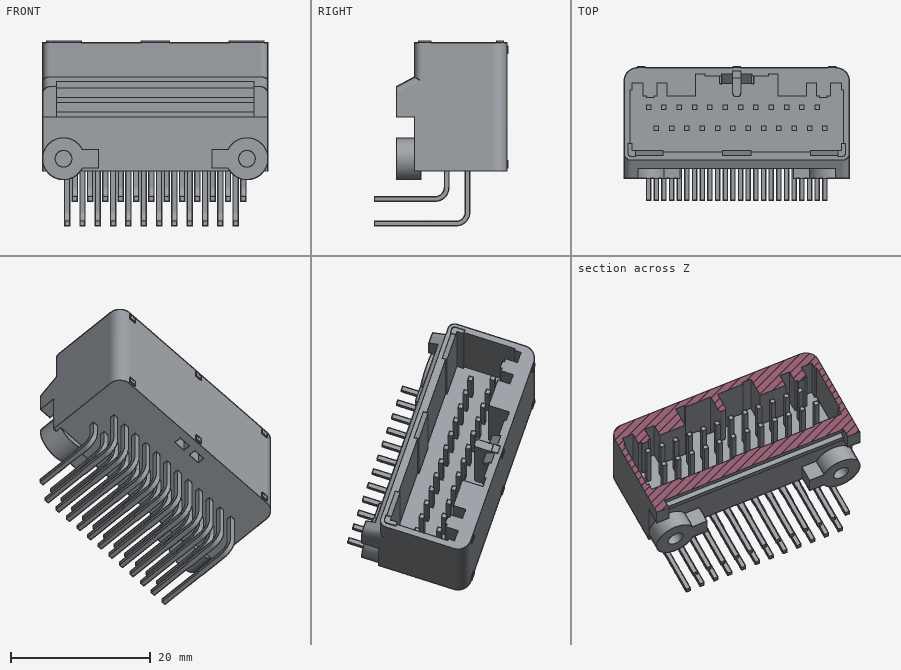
import cadquery as cq
import math


WIDTH = 32.3
HEIGHT = 18.4
DEPTH = 13.28
FLOOR = 3.0
BACK_CORNER_R = 1.95
FRONT_CORNER_R = 1.0
PAD_HEIGHT = 0.25
HALF_WIDTH = WIDTH / 2

FLANGE_REACH = 2.6
FLANGE_FRONT = -DEPTH - FLANGE_REACH
SLOPE_START = HEIGHT - 4.9
SLOPE_DROP = 1.4
FLANGE_BOTTOM = HEIGHT - 10.65
RECESS_HALF_WIDTH = 14.18
RECESS_FRONT = -DEPTH - 1.2
RIB_COUNT = 2
RIB_HEIGHT = 0.75
RIB_GAP = 1.32

SIDE_WALL_X = 15.28
SIDE_STEP_X = 15.02
SIDE_STEP_BACK_Y = -3.2
SIDE_STEP_FRONT_Y = -10.9
FRONT_WALL_Y = -12.1
FRONT_STEP_Y = -11.9
POCKET_Y = -2.2
TEETH_Y = -4.05
BUMP_REACH = 0.25
OUTER_TOOTH_X = (11.47, 13.4)
TOOTH_BUMP_X = (11.9, 12.92)
INNER_BLOCK_X = (5.95, 10.0)
BAY_Y = -0.95
BAY_STEP_X = 4.6
BAY_STEP_Y = -1.23

STRIP_OUTER_Y = -12.63
CORNER_STRIP_X = (10.6, 14.55)
MIDDLE_STRIP_HALF_WIDTH = 2.07
CORNER_PAD_X = 15.6
CORNER_PAD_Y = -12.73
CORNER_PAD_R = 0.5

KEY_WIDTH = 1.15
KEY_END_Y = -4.17
KEY_END_R = 0.52
KEY_PAD_Y = (-1.5, -0.5)
LATCH_HALF_WIDTH = 2.15
LATCH_TIP_Y = -2.3
LATCH_DROP = 1.3
LATCH_TIP_HEIGHT = 0.42
WINDOW_HALF_WIDTH = 2.42

BACK_BUMP_SIZE = 1.05
BACK_BUMP_REACH = 0.15
BACK_BUMP_INSET = 0.45
BACK_BUMP_X = 13.65

BOSS_R = 3.0
BOSS_X = HALF_WIDTH - BOSS_R
BOSS_Z = 1.78
BOSS_BACK = -12.35
BOSS_HOLE_D = 2.4
LUG_END_X = 8.15
LUG_HEIGHT = 2.62

PIN_COUNT = 24
PIN_SPACING = 1.1
PIN_SIZE = 0.65
PIN_THICKNESS = 0.68
PIN_ROOT_WIDTH = 0.78
PIN_TOP = HEIGHT - 8.0
TAIL_END_Y = -19.02
TAPER_Y = (-11.6, -12.08)
BEND_R = 2.0
LONG_DROP = 7.85
ROW_DROP_STEP = 3.52
BACK_ROW_Y = -5.65
ROW_SPACING = 3.0


def block(x_range, y_range, z_range):
    """Axis-aligned box between pairs of coordinates, given in any order."""
    (x0, x1), (y0, y1), (z0, z1) = (sorted(r) for r in (x_range, y_range, z_range))
    return cq.Workplane("XY").box(x1 - x0, y1 - y0, z1 - z0, centered=False).translate((x0, y0, z0))


def prism_x(points, x_range):
    """Extrude a (Y, Z) outline along X."""
    x0, x1 = x_range
    return cq.Workplane("YZ", origin=(x0, 0, 0)).polyline(points).close().extrude(x1 - x0)


def mirror_pair(solid):
    return solid.union(solid.mirror("YZ"))


def make_shell():
    full_x = (-HALF_WIDTH, HALF_WIDTH)
    shell = block(full_x, (-DEPTH, 0), (0, HEIGHT))
    shell = shell.edges("|Z and >Y").fillet(BACK_CORNER_R)
    shell = shell.edges("|Z and <Y").fillet(FRONT_CORNER_R)
    square_base = block(full_x, (-DEPTH, -DEPTH / 2), (0, FLANGE_BOTTOM))
    return shell.union(square_base)


def make_flange():
    overlap = 2 * FRONT_CORNER_R
    slope = SLOPE_DROP / FLANGE_REACH
    back = -DEPTH + overlap
    flange = prism_x(
        [
            (FLANGE_FRONT, FLANGE_BOTTOM),
            (FLANGE_FRONT, SLOPE_START - SLOPE_DROP),
            (back, SLOPE_START + slope * overlap),
            (back, FLANGE_BOTTOM),
        ],
        (-HALF_WIDTH, HALF_WIDTH),
    )
    middle_y = (FLANGE_FRONT + back) / 2
    middle_z = SLOPE_START - SLOPE_DROP + slope * (middle_y - FLANGE_FRONT)
    for x in (-HALF_WIDTH, HALF_WIDTH):
        slope_end = cq.selectors.NearestToPointSelector((x, middle_y, middle_z))
        flange = flange.edges(slope_end).fillet(FRONT_CORNER_R)

    recess_x = (-RECESS_HALF_WIDTH, RECESS_HALF_WIDTH)
    flange = flange.cut(block(recess_x, (FLANGE_FRONT, RECESS_FRONT), (FLANGE_BOTTOM, HEIGHT)))
    for row in range(RIB_COUNT):
        gap_bottom = FLANGE_BOTTOM + RIB_HEIGHT + row * (RIB_HEIGHT + RIB_GAP)
        gap = block(recess_x, (RECESS_FRONT, -DEPTH), (gap_bottom, gap_bottom + RIB_GAP))
        flange = flange.cut(gap)
    return flange


def make_cavity():
    tooth_in, tooth_out = OUTER_TOOTH_X
    bump_in, bump_out = TOOTH_BUMP_X
    block_in, block_out = INNER_BLOCK_X
    bump_y = TEETH_Y - BUMP_REACH
    right_half = [
        (0, BAY_STEP_Y),
        (BAY_STEP_X, BAY_STEP_Y),
        (BAY_STEP_X, BAY_Y),
        (block_in, BAY_Y),
        (block_in, TEETH_Y),
        (block_out, TEETH_Y),
        (block_out, POCKET_Y),
        (tooth_in, POCKET_Y),
        (tooth_in, TEETH_Y),
        (bump_in, TEETH_Y),
        (bump_in, bump_y),
        (bump_out, bump_y),
        (bump_out, TEETH_Y),
        (tooth_out, TEETH_Y),
        (tooth_out, POCKET_Y),
        (SIDE_STEP_X, POCKET_Y),
        (SIDE_STEP_X, SIDE_STEP_BACK_Y),
        (SIDE_WALL_X, SIDE_STEP_BACK_Y),
        (SIDE_WALL_X, SIDE_STEP_FRONT_Y),
        (SIDE_STEP_X, SIDE_STEP_FRONT_Y),
        (SIDE_STEP_X, FRONT_STEP_Y),
        (CORNER_STRIP_X[0], FRONT_STEP_Y),
        (CORNER_STRIP_X[0], FRONT_WALL_Y),
        (MIDDLE_STRIP_HALF_WIDTH, FRONT_WALL_Y),
        (MIDDLE_STRIP_HALF_WIDTH, FRONT_STEP_Y),
        (0, FRONT_STEP_Y),
    ]
    half = cq.Workplane("XY", origin=(0, 0, FLOOR)).polyline(right_half).close().extrude(HEIGHT - FLOOR)
    return mirror_pair(half)


def make_rim_pads():
    def sloped_strip(x_range):
        """Wedge rising from the rim toward the cavity."""
        outline = [
            (STRIP_OUTER_Y, HEIGHT),
            (FRONT_STEP_Y, HEIGHT),
            (FRONT_STEP_Y, HEIGHT + PAD_HEIGHT),
        ]
        return prism_x(outline, x_range)

    pad_z = (HEIGHT, HEIGHT + PAD_HEIGHT)
    inner_x = CORNER_STRIP_X[1]
    corner = block((inner_x, CORNER_PAD_X), (CORNER_PAD_Y, SIDE_STEP_FRONT_Y), pad_z)
    corner = corner.edges("|Z and >X and <Y").fillet(CORNER_PAD_R)
    corner = corner.cut(block((inner_x, SIDE_STEP_X), (FRONT_STEP_Y, SIDE_STEP_FRONT_Y), pad_z))
    pads = mirror_pair(corner.union(sloped_strip(CORNER_STRIP_X)))
    return pads.union(sloped_strip((-MIDDLE_STRIP_HALF_WIDTH, MIDDLE_STRIP_HALF_WIDTH)))


def make_key():
    key_x = (-KEY_WIDTH / 2, KEY_WIDTH / 2)
    key = block(key_x, (KEY_END_Y, BAY_Y), (0, HEIGHT))
    key = key.edges("|Z and <Y").fillet(KEY_END_R)
    return key.union(block(key_x, KEY_PAD_Y, (HEIGHT, HEIGHT + PAD_HEIGHT)))


def make_latch():
    tip_top = HEIGHT - LATCH_DROP
    tip_bottom = tip_top - LATCH_TIP_HEIGHT
    return prism_x(
        [(BAY_Y, HEIGHT), (LATCH_TIP_Y, tip_top), (LATCH_TIP_Y, tip_bottom), (BAY_Y, tip_bottom)],
        (-LATCH_HALF_WIDTH, LATCH_HALF_WIDTH),
    )


def make_latch_chamfer():
    """Wall material above the latch slope."""
    return prism_x(
        [(BAY_Y, HEIGHT), (LATCH_TIP_Y, HEIGHT), (LATCH_TIP_Y, HEIGHT - LATCH_DROP)],
        (-LATCH_HALF_WIDTH, LATCH_HALF_WIDTH),
    )


def make_back_bumps():
    half = BACK_BUMP_SIZE / 2
    low_z = BACK_BUMP_INSET + half
    bumps = cq.Workplane("XY")
    for x in (-BACK_BUMP_X, 0, BACK_BUMP_X):
        for z in (low_z, HEIGHT - low_z):
            bump = block((x - half, x + half), (-BACK_BUMP_REACH, BACK_BUMP_REACH), (z - half, z + half))
            bumps = bumps.union(bump)
    return bumps


def make_bosses():
    def cylinder(radius, back_y):
        plane = cq.Workplane("XZ", origin=(BOSS_X, back_y, BOSS_Z))
        return plane.circle(radius).extrude(back_y - FLANGE_FRONT)

    boss = cylinder(BOSS_R, BOSS_BACK)
    lug_z = (BOSS_Z - LUG_HEIGHT / 2, BOSS_Z + LUG_HEIGHT / 2)
    boss = boss.union(block((LUG_END_X, BOSS_X), (FLANGE_FRONT, BOSS_BACK), lug_z))
    hole = cylinder(BOSS_HOLE_D / 2, -DEPTH)
    return mirror_pair(boss), mirror_pair(hole)


def make_pin(row_y, drop):
    """One pin at X = 0: blade in the cavity, bent root and narrower tail."""
    half = PIN_THICKNESS / 2
    inner_r = BEND_R - PIN_THICKNESS
    back, front = row_y + half, row_y - half
    under, over = -drop, PIN_THICKNESS - drop
    diagonal = math.sqrt(0.5)
    centre_y, centre_z = back - BEND_R, BEND_R - drop
    root = (
        cq.Workplane("YZ", origin=(-PIN_ROOT_WIDTH / 2, 0, 0))
        .moveTo(back, FLOOR / 2)
        .lineTo(back, centre_z)
        .threePointArc((centre_y + BEND_R * diagonal, centre_z - BEND_R * diagonal), (centre_y, under))
        .lineTo(TAPER_Y[0], under)
        .lineTo(TAPER_Y[0], over)
        .lineTo(centre_y, over)
        .threePointArc((centre_y + inner_r * diagonal, centre_z - inner_r * diagonal), (front, centre_z))
        .lineTo(front, FLOOR / 2)
        .close()
        .extrude(PIN_ROOT_WIDTH)
    )
    root_half, tail_half = PIN_ROOT_WIDTH / 2, PIN_SIZE / 2
    tail = (
        cq.Workplane("XY", origin=(0, 0, under))
        .polyline(
            [
                (-root_half, TAPER_Y[0]),
                (-tail_half, TAPER_Y[1]),
                (-tail_half, TAIL_END_Y),
                (tail_half, TAIL_END_Y),
                (tail_half, TAPER_Y[1]),
                (root_half, TAPER_Y[0]),
            ]
        )
        .close()
        .extrude(PIN_THICKNESS)
    )
    blade = block((-tail_half, tail_half), (row_y - tail_half, row_y + tail_half), (FLOOR / 2, PIN_TOP))
    return root.union(tail).union(blade)


housing = make_shell().union(make_flange()).cut(make_cavity())
housing = housing.union(make_rim_pads()).union(make_latch()).cut(make_latch_chamfer())
latch_window = block((-WINDOW_HALF_WIDTH, WINDOW_HALF_WIDTH), (BAY_STEP_Y, LATCH_TIP_Y), (0, FLOOR))
housing = housing.cut(latch_window)
housing = housing.union(make_key()).union(make_back_bumps())
bosses, boss_holes = make_bosses()
housing = housing.union(bosses).cut(boss_holes)

pins = (
    make_pin(BACK_ROW_Y, LONG_DROP),
    make_pin(BACK_ROW_Y - ROW_SPACING, LONG_DROP - ROW_DROP_STEP),
)
result = housing
for index in range(PIN_COUNT):
    x = (index - (PIN_COUNT - 1) / 2) * PIN_SPACING
    result = result.union(pins[index % 2].translate((x, 0, 0)))